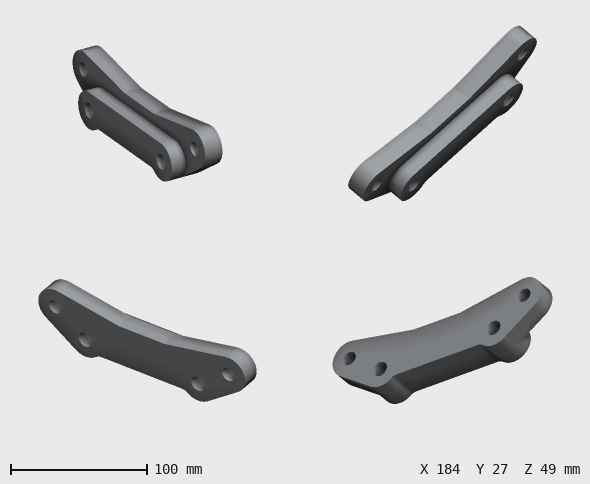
import cadquery as cq
import math

length = 184.0
height = 49.0
end_radius = 15.0
plate_thickness = 15.0
pad_thickness = 12.0
lug_x = 50.0
ear_hole_diameter = 11.0
lug_hole_diameter = 12.0
waist_drop = 10.0
waist_half_width = 20.2
bottom_edge_drop = 10.0
bottom_fillet = 8.0

ear_x = length / 2 - end_radius
ear_z = height - 2 * end_radius
waist_z = ear_z + end_radius - waist_drop

corner_dx = ear_x - waist_half_width
corner_dz = waist_z - ear_z
corner_distance = math.hypot(corner_dx, corner_dz)
upper_angle = math.atan2(corner_dz, corner_dx) + math.acos(end_radius / corner_distance)

lower_angle = math.atan2(ear_z, ear_x - lug_x) - math.pi / 2

fillet_center_z = -bottom_edge_drop - bottom_fillet
fillet_reach = math.sqrt((end_radius + bottom_fillet) ** 2 - fillet_center_z**2)
fillet_center_x = lug_x - fillet_reach
fillet_lug_angle = math.atan2(fillet_center_z, -fillet_reach)
fillet_mid_angle = (math.pi / 2 + fillet_lug_angle + math.pi) / 2


def on_circle(x, z, radius, angle):
    return (x + radius * math.cos(angle), z + radius * math.sin(angle))


def mirrored(point):
    return (-point[0], point[1])


def on_lug(angle):
    return on_circle(lug_x, 0, end_radius, angle)


ear_top = on_circle(ear_x, ear_z, end_radius, math.pi - upper_angle)
ear_side = (length / 2, ear_z)
ear_bottom = on_circle(ear_x, ear_z, end_radius, lower_angle)
lug_side = on_lug(lower_angle)
lug_bottom = on_lug(-math.pi / 2)
lug_fillet_start = on_lug(fillet_lug_angle)
fillet_middle = on_circle(fillet_center_x, fillet_center_z, bottom_fillet, fillet_mid_angle)
fillet_end = (fillet_center_x, -bottom_edge_drop)
waist_corner = (waist_half_width, waist_z)
pad_top = (lug_x, end_radius)
pad_side = (lug_x + end_radius, 0)


def add_bottom(profile):
    """Continue along the lower outline shared by plate and pad, from right lug side to left."""
    return (
        profile.threePointArc(lug_bottom, lug_fillet_start)
        .threePointArc(fillet_middle, fillet_end)
        .lineTo(*mirrored(fillet_end))
        .threePointArc(mirrored(fillet_middle), mirrored(lug_fillet_start))
        .threePointArc(mirrored(lug_bottom), mirrored(lug_side))
    )


def make_plate():
    profile = (
        cq.Workplane("XZ")
        .moveTo(*mirrored(waist_corner))
        .lineTo(*waist_corner)
        .lineTo(*ear_top)
        .threePointArc(ear_side, ear_bottom)
        .lineTo(*lug_side)
    )
    profile = (
        add_bottom(profile)
        .lineTo(*mirrored(ear_bottom))
        .threePointArc(mirrored(ear_side), mirrored(ear_top))
    )
    return profile.close().extrude(-plate_thickness)


def make_pad():
    profile = (
        cq.Workplane("XZ")
        .moveTo(*mirrored(pad_top))
        .lineTo(*pad_top)
        .threePointArc(pad_side, lug_side)
    )
    profile = add_bottom(profile).threePointArc(mirrored(pad_side), mirrored(pad_top))
    return profile.close().extrude(pad_thickness)


def make_holes(x, z, diameter):
    """Pair of cylinders through the full depth, symmetric about X = 0."""
    return (
        cq.Workplane("XZ", origin=(0, -pad_thickness, 0))
        .pushPoints([(-x, z), (x, z)])
        .circle(diameter / 2)
        .extrude(-(plate_thickness + pad_thickness))
    )


result = make_plate().union(make_pad())
result = result.cut(make_holes(ear_x, ear_z, ear_hole_diameter))
result = result.cut(make_holes(lug_x, 0, lug_hole_diameter))